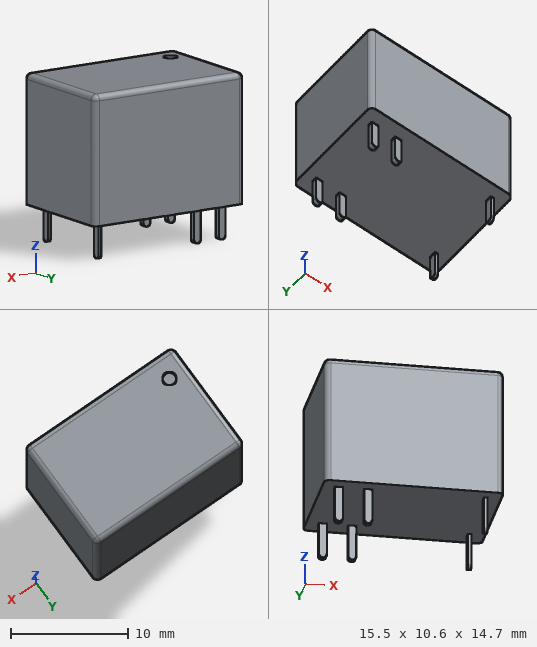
import cadquery as cq

body_length = 15.5
body_width = 10.62
overall_height = 14.7
pin_length = 3.2
body_height = overall_height - pin_length
edge_radius = 0.51

marker_diameter = 1.2
marker_depth = 0.3
marker_x = 1.88 - body_length / 2
marker_y = 2.22 - body_width / 2

pin_blade_width = 0.7
contact_pin_thickness = 0.5
coil_pin_thickness = 0.31
pin_row_y = 3.81
end_contact_x = 1.44 - body_length / 2
contact_pitch = 2.54
coil_pin_x = 14.15 - body_length / 2
pin_root = edge_radius


def make_housing():
    box = cq.Workplane("XY").box(body_length, body_width, body_height, centered=(True, True, False))
    return box.edges("|Z or >Z").fillet(edge_radius)


def make_marker():
    top = cq.Workplane("XY").workplane(offset=body_height)
    return top.center(marker_x, marker_y).circle(marker_diameter / 2).extrude(-marker_depth)


def make_pin(thickness):
    """Pin on the Z axis: blade width along X, thickness along Y, semicircular tip down."""
    half_width = pin_blade_width / 2
    tip_start = half_width - pin_length
    return (
        cq.Workplane("XZ")
        .moveTo(-half_width, pin_root)
        .lineTo(-half_width, tip_start)
        .threePointArc((0, -pin_length), (half_width, tip_start))
        .lineTo(half_width, pin_root)
        .close()
        .extrude(thickness / 2, both=True)
    )


contact_pin = make_pin(contact_pin_thickness)
coil_pin = make_pin(coil_pin_thickness).rotate((0, 0, 0), (0, 0, 1), 90)
pins_in_row = (
    (contact_pin, end_contact_x),
    (contact_pin, end_contact_x + contact_pitch),
    (coil_pin, coil_pin_x),
)

result = make_housing().cut(make_marker())
for row_y in (-pin_row_y, pin_row_y):
    for pin, pin_x in pins_in_row:
        result = result.union(pin.translate((pin_x, row_y, 0)))